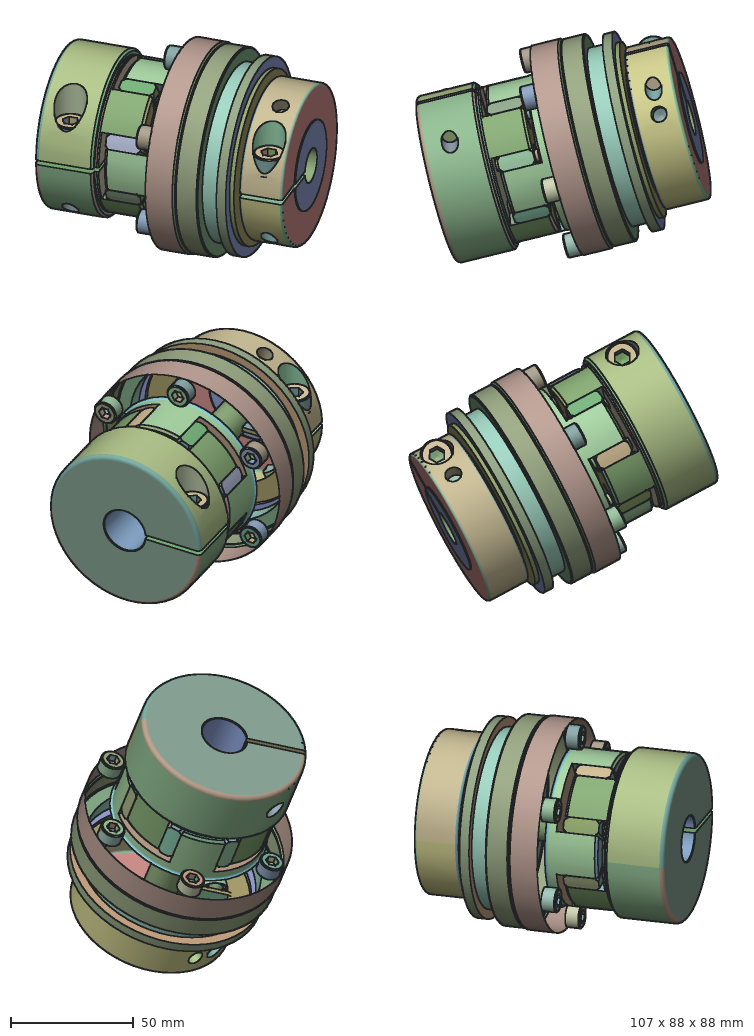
import cadquery as cq
import math

LENGTH = 107.0
CLAMP_HUB_END = 25.1
HUB_STEP_END = 26.0
HUB_FACE = 26.8
INSERT_START = 29.0
INSERT_END = 44.0
JAW_PLATE_START = 46.7
FLANGE_START = 51.0
FLANGE_END = 62.6
COVER_START = 64.0
COVER_END = 73.3
COLLAR_START = 80.8
COLLAR_END = 84.8
SHOULDER_END = 86.7
SHAFT_HUB_START = 88.0
SHAFT_HUB_END = 106.5

CLAMP_HUB_RADIUS = 35.0
JAW_RADIUS = 32.5
JAW_INNER_RADIUS = 21.0
HUB_STEP_RADIUS = JAW_RADIUS + 0.1
FLANGE_RADIUS = 44.0
COVER_RADIUS = 43.5
SEAM_RADIUS = 43.2
NECK_RADIUS = 37.5
COLLAR_RADIUS = 41.5
SHOULDER_RADIUS = 36.8
CONE_SMALL_RADIUS = 27.4
CONE_LARGE_RADIUS = 31.2
SHAFT_HUB_RADIUS = 34.0
END_BOSS_RADIUS = 19.0
CLAMP_BORE_RADIUS = 9.5
SHAFT_BORE_RADIUS = 7.3

HUB_FILLET = 1.8
HUB_CHAMFER = 1.0
SHAFT_HUB_FILLET = 1.0
JAW_CHAMFER = 1.1
BORE_CHAMFER = 0.3
COVER_CHAMFER = 0.5
ROOT_FILLET = 1.0
SCREW_CHAMFER = 0.5

JAW_COUNT = 4
JAW_PITCH = 360.0 / JAW_COUNT
TOOTH_COUNT = 2 * JAW_COUNT
TOOTH_PITCH = 360.0 / TOOTH_COUNT
JAW_OUTER_HALF_ANGLE = 16.8
JAW_INNER_HALF_ANGLE = 9.5
FLANK_BULGE = 0.6
INSERT_BORE_RADIUS = 15.0
INSERT_RADIUS = JAW_RADIUS - 0.1
TOOTH_CHAMFER = 1.4
BUTTON_DIAMETER = 5.0
BUTTON_CIRCLE_RADIUS = 25.0
BUTTON_HEIGHT = 1.5

SLOT_WIDTH = 2.0
CLAMP_SCREW_DIAMETER = 8.0
CLAMP_HEAD_DIAMETER = 13.0
CLAMP_HEAD_HEIGHT = 8.0
CLAMP_SCREW_LENGTH = 25.0
CLAMP_SOCKET_FLATS = 6.0
COUNTERBORE_DIAMETER = 13.5
TAP_DIAMETER = 6.8
CLAMP_SCREW_X = 12.0
CLAMP_SCREW_Y = -25.0
CLAMP_HEAD_TOP = 16.3
SHAFT_SCREW_X = 98.0
SHAFT_SCREW_Y = -25.4
SHAFT_HEAD_TOP = 17.5

UPPER_HOLE_DIAMETER = 6.8
UPPER_HOLE_ANGLE = 20.0
LOWER_HOLE_DIAMETER = 6.4
LOWER_HOLE_ANGLE = 150.0
RADIAL_HOLE_DEPTH = 6.0
DRILL_HALF_ANGLE = 59.0

FLANGE_SCREW_COUNT = 6
FLANGE_SCREW_PITCH = 360.0 / FLANGE_SCREW_COUNT
FLANGE_HEAD_DIAMETER = 10.0
FLANGE_HEAD_HEIGHT = 6.0
FLANGE_SCREW_CIRCLE_RADIUS = FLANGE_RADIUS - FLANGE_HEAD_DIAMETER / 2
FLANGE_SOCKET_FLATS = 4.7

OVERLAP = 0.5


def disc(radius, start, end):
    return cq.Workplane("YZ", origin=(start, 0, 0)).circle(radius).extrude(end - start)


def around_axis(body, angle):
    return body.rotate((0, 0, 0), (1, 0, 0), angle)


def polar(radius, angle):
    return (radius * math.cos(math.radians(angle)), radius * math.sin(math.radians(angle)))


def drill(diameter, depth):
    """Drill shape entering downwards from the origin, with a conical point."""
    radius = diameter / 2
    point_depth = depth + radius / math.tan(math.radians(DRILL_HALF_ANGLE))
    profile = [(0, depth), (radius, depth), (radius, -depth), (0, -point_depth)]
    return cq.Workplane("XZ").polyline(profile).close().revolve(360, (0, 0), (0, 1))


def cap_head(diameter, height, flats):
    """Socket screw head with its top at the origin, pointing up."""
    head = cq.Workplane("XY").circle(diameter / 2).extrude(-height)
    head = head.faces(">Z").edges().chamfer(SCREW_CHAMFER)
    socket_depth = height / 2
    across_corners = flats / math.cos(math.radians(30))
    hexagon = cq.Workplane("XY").polygon(6, across_corners).extrude(-2 * socket_depth)
    return head.cut(hexagon.intersect(drill(across_corners, socket_depth)))


def make_clamp_hub():
    body = disc(CLAMP_HUB_RADIUS, 0, CLAMP_HUB_END)
    body = body.faces("<X").edges().fillet(HUB_FILLET)
    body = body.faces(">X").edges().chamfer(HUB_CHAMFER)
    jaw_ring = disc(JAW_RADIUS, CLAMP_HUB_END - OVERLAP, INSERT_END)
    jaw_ring = jaw_ring.faces(">X").edges().chamfer(JAW_CHAMFER)
    jaw_ring = jaw_ring.cut(disc(JAW_INNER_RADIUS, HUB_FACE, INSERT_END))
    body = body.union(disc(HUB_STEP_RADIUS, CLAMP_HUB_END - OVERLAP, HUB_STEP_END))
    body = cut_jaws(body.union(jaw_ring), HUB_FACE, INSERT_END, JAW_PITCH / 2)
    body = body.cut(disc(CLAMP_BORE_RADIUS, 0, HUB_FACE))
    return body.faces("<X").edges(cq.selectors.RadiusNthSelector(0)).chamfer(BORE_CHAMFER)


def make_flange_body():
    seam_slope_end = FLANGE_END + FLANGE_RADIUS - SEAM_RADIUS
    root_start = FLANGE_START - ROOT_FILLET
    fillet_middle = ROOT_FILLET * math.sqrt(0.5)
    jaw_side = [
        (JAW_PLATE_START, JAW_INNER_RADIUS),
        (INSERT_START, JAW_INNER_RADIUS),
        (INSERT_START, JAW_RADIUS - JAW_CHAMFER),
        (INSERT_START + JAW_CHAMFER, JAW_RADIUS),
        (root_start, JAW_RADIUS),
    ]
    hub_side = [
        (FLANGE_START, FLANGE_RADIUS),
        (FLANGE_END, FLANGE_RADIUS),
        (seam_slope_end, SEAM_RADIUS),
        (COVER_START, SEAM_RADIUS),
        (COVER_START, COVER_RADIUS),
        (COVER_END - COVER_CHAMFER, COVER_RADIUS),
        (COVER_END, COVER_RADIUS - COVER_CHAMFER),
        (COVER_END, NECK_RADIUS),
        (COLLAR_START, NECK_RADIUS),
        (COLLAR_START, COLLAR_RADIUS),
        (COLLAR_END, COLLAR_RADIUS),
        (COLLAR_END, SHOULDER_RADIUS),
        (SHOULDER_END, SHOULDER_RADIUS),
        (SHOULDER_END, 0),
    ]
    outline = cq.Workplane("XY").moveTo(JAW_PLATE_START, 0)
    for point in jaw_side:
        outline = outline.lineTo(*point)
    outline = outline.threePointArc(
        (root_start + fillet_middle, JAW_RADIUS + ROOT_FILLET - fillet_middle),
        (FLANGE_START, JAW_RADIUS + ROOT_FILLET),
    )
    for point in hub_side:
        outline = outline.lineTo(*point)
    body = outline.close().revolve(360, (0, 0), (1, 0))
    return cut_jaws(body, INSERT_START, JAW_PLATE_START, 0)


def make_shaft_hub():
    body = disc(SHAFT_HUB_RADIUS, SHAFT_HUB_START, SHAFT_HUB_END).edges().fillet(SHAFT_HUB_FILLET)
    cone = [
        (SHOULDER_END, 0),
        (SHOULDER_END, CONE_SMALL_RADIUS),
        (SHAFT_HUB_START, CONE_LARGE_RADIUS),
        (SHAFT_HUB_START, 0),
    ]
    body = body.union(cq.Workplane("XY").polyline(cone).close().revolve(360, (0, 0), (1, 0)))
    body = body.union(disc(END_BOSS_RADIUS, SHAFT_HUB_END - OVERLAP, LENGTH))
    for angle, diameter in (
        (UPPER_HOLE_ANGLE, UPPER_HOLE_DIAMETER),
        (LOWER_HOLE_ANGLE, LOWER_HOLE_DIAMETER),
    ):
        hole = drill(diameter, RADIAL_HOLE_DEPTH).translate((SHAFT_SCREW_X, 0, SHAFT_HUB_RADIUS))
        body = body.cut(around_axis(hole, angle))
    return body


def add_clamp(body, start, end, screw_x, screw_y, head_top):
    """Slit one hub towards -Y and fit its clamping screw."""
    reach = 2 * CLAMP_HUB_RADIUS
    slot = cq.Workplane("XY").box(end - start, reach, SLOT_WIDTH, centered=(False, False, True))
    body = body.cut(slot.translate((start, -reach, 0)))

    seat = head_top - CLAMP_HEAD_HEIGHT
    shank_end = seat - CLAMP_SCREW_LENGTH
    axis_seat = cq.Workplane("XY", origin=(screw_x, screw_y, seat))
    axis_end = cq.Workplane("XY", origin=(screw_x, screw_y, shank_end))
    body = body.cut(axis_seat.circle(COUNTERBORE_DIAMETER / 2).extrude(reach))
    body = body.cut(axis_end.circle(TAP_DIAMETER / 2).extrude(-reach))

    head = cap_head(CLAMP_HEAD_DIAMETER, CLAMP_HEAD_HEIGHT, CLAMP_SOCKET_FLATS)
    shank = axis_seat.circle(CLAMP_SCREW_DIAMETER / 2).extrude(-CLAMP_SCREW_LENGTH)
    return body.union(shank).union(head.translate((screw_x, screw_y, head_top)))


def sector(start, end, inner_half_angle, outer_half_angle, bulge):
    """Bar centred on +Y between the jaw radii; its flanks curve outwards by the bulge."""
    inner_y, inner_z = polar(JAW_INNER_RADIUS, inner_half_angle)
    outer_y, outer_z = polar(JAW_RADIUS, outer_half_angle)
    middle_y = (inner_y + outer_y) / 2
    middle_z = (inner_z + outer_z) / 2 + bulge
    outline = (
        cq.Workplane("YZ", origin=(start, 0, 0))
        .moveTo(inner_y, inner_z)
        .threePointArc((middle_y, middle_z), (outer_y, outer_z))
        .lineTo(CLAMP_HUB_RADIUS, outer_z)
        .lineTo(CLAMP_HUB_RADIUS, -outer_z)
        .lineTo(outer_y, -outer_z)
        .threePointArc((middle_y, -middle_z), (inner_y, -inner_z))
        .close()
    )
    return outline.extrude(end - start)


def cut_jaws(body, start, end, first_angle):
    """Split the plain ring between start and end into jaws."""
    bar = sector(start, end, JAW_INNER_HALF_ANGLE, JAW_OUTER_HALF_ANGLE, -FLANK_BULGE)
    gaps = disc(CLAMP_HUB_RADIUS, start, end)
    for index in range(JAW_COUNT):
        gaps = gaps.cut(around_axis(bar, first_angle + index * JAW_PITCH))
    return body.cut(gaps)


def make_insert():
    insert = disc(JAW_INNER_RADIUS, INSERT_START, INSERT_END)
    insert = insert.cut(disc(INSERT_BORE_RADIUS, INSERT_START, INSERT_END))
    inner_half_angle = TOOTH_PITCH / 2 - JAW_INNER_HALF_ANGLE
    outer_half_angle = TOOTH_PITCH / 2 - JAW_OUTER_HALF_ANGLE
    tooth = sector(INSERT_START, INSERT_END, inner_half_angle, outer_half_angle, FLANK_BULGE)
    tooth = tooth.faces("<X or >X").edges("not(|Z)").chamfer(TOOTH_CHAMFER)
    tooth = tooth.intersect(disc(INSERT_RADIUS, INSERT_START, INSERT_END))
    button = cq.Workplane("YZ", origin=(INSERT_START - BUTTON_HEIGHT, BUTTON_CIRCLE_RADIUS, 0))
    button = button.circle(BUTTON_DIAMETER / 2).extrude(INSERT_END - INSERT_START + 2 * BUTTON_HEIGHT)
    tooth = tooth.union(button)
    for index in range(TOOTH_COUNT):
        insert = insert.union(around_axis(tooth, (index + 0.5) * TOOTH_PITCH))
    return insert


def add_flange_screws(body):
    head = cap_head(FLANGE_HEAD_DIAMETER, FLANGE_HEAD_HEIGHT, FLANGE_SOCKET_FLATS)
    head = head.rotate((0, 0, 0), (0, 0, 1), 90).rotate((0, 0, 0), (0, 1, 0), -90)
    head = head.translate((FLANGE_START - FLANGE_HEAD_HEIGHT, 0, FLANGE_SCREW_CIRCLE_RADIUS))
    for index in range(FLANGE_SCREW_COUNT):
        body = body.union(around_axis(head, index * FLANGE_SCREW_PITCH))
    return body


clamp_hub = add_clamp(
    make_clamp_hub(), 0, HUB_FACE, CLAMP_SCREW_X, CLAMP_SCREW_Y, CLAMP_HEAD_TOP
)

shaft_hub = add_clamp(
    make_shaft_hub(), SHOULDER_END, LENGTH, SHAFT_SCREW_X, SHAFT_SCREW_Y, SHAFT_HEAD_TOP
)

flange = add_flange_screws(make_flange_body()).union(shaft_hub)
flange = flange.cut(disc(SHAFT_BORE_RADIUS, JAW_PLATE_START, LENGTH))

result = clamp_hub.union(make_insert()).union(flange)